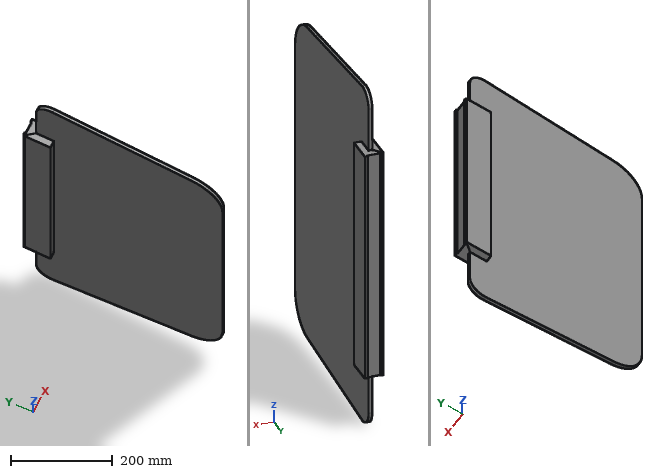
import cadquery as cq
import math

total_width = 40.0
total_depth = 431.0
total_height = 753.5
back_y = total_depth / 2
front_y = -back_y

panel_thickness = 8.0
panel_depth = 410.0
taper_angle = math.radians(5.0)
back_corner_radius = 34.0
front_corner_radius = 75.0
panel_back_y = front_y + panel_depth

clamp_depth = 60.0
clamp_height = 500.0
clamp_front_y = back_y - clamp_depth
side_x = total_width / 2
slot_x = panel_thickness / 2

lip_width = 7.0
recess_depth = 2.0

wedge_drop = 1.0
lip_inset = 2.0
joint_slope = (back_y - wedge_drop - panel_back_y) / (side_x - slot_x)


def make_panel():
    """Plate in the YZ plane whose rounded back corners reach the full height."""
    half_height = total_height / 2
    arc_center_y = panel_back_y - back_corner_radius
    arc_center_z = half_height - back_corner_radius

    def edge_z(y):
        """Height of the sloping upper edge line, tangent to the back corner arc."""
        rise = back_corner_radius / math.cos(taper_angle)
        return arc_center_z + rise + (y - arc_center_y) * math.tan(taper_angle)

    back_z = edge_z(panel_back_y)
    front_z = edge_z(front_y)
    plate = (
        cq.Workplane("YZ")
        .polyline([(front_y, -front_z), (panel_back_y, -back_z), (panel_back_y, back_z), (front_y, front_z)])
        .close()
        .extrude(slot_x, both=True)
    )
    plate = plate.edges("|X and >Y").fillet(back_corner_radius)
    return plate.edges("|X and <Y").fillet(front_corner_radius)


def extrude_clamp_profile(points):
    """Extrude an XY outline over the clamp height, centred on Z."""
    return cq.Workplane("XY").polyline(points).close().extrude(clamp_height / 2, both=True)


def make_wedge():
    """Loose jaw on the -X side, closed off at the back by the slanted joint."""
    return extrude_clamp_profile([
        (-side_x, clamp_front_y),
        (-slot_x, clamp_front_y),
        (-slot_x, panel_back_y),
        (-side_x, back_y - wedge_drop),
    ])


def make_base():
    """Fixed jaw on the +X side with the back wall behind the panel."""
    recess_x = side_x - lip_width
    recess_y = back_y - recess_depth
    lip_x = side_x - lip_inset
    lip_foot_y = panel_back_y + joint_slope * (lip_x - slot_x)
    return extrude_clamp_profile([
        (slot_x, clamp_front_y),
        (side_x, clamp_front_y),
        (side_x, back_y),
        (recess_x, back_y),
        (recess_x, recess_y),
        (-recess_x, recess_y),
        (-recess_x, back_y),
        (-lip_x, back_y),
        (-lip_x, lip_foot_y),
        (-slot_x, panel_back_y),
        (slot_x, panel_back_y),
    ])


panel = make_panel()
wedge = make_wedge()
base = make_base()

result = cq.Compound.makeCompound([panel.val(), wedge.val(), base.val()])